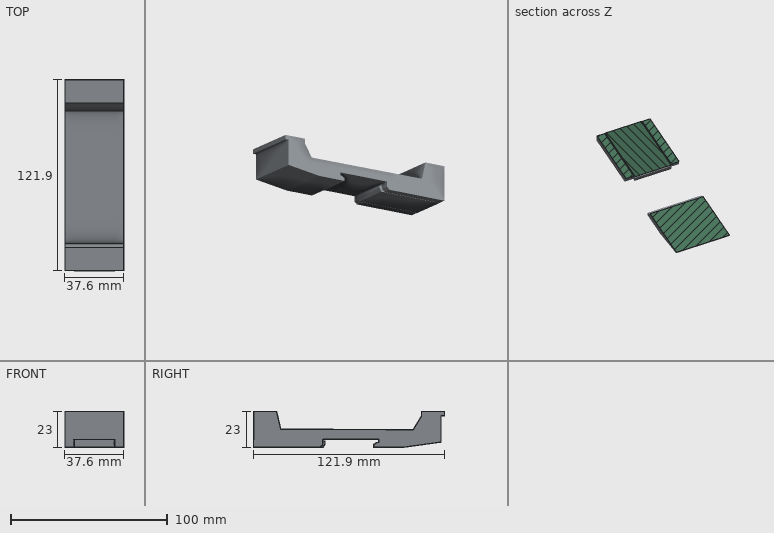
import cadquery as cq


width = 37.65
height = 23.0
slider_protrusion = 0.21
housing_length = 121.91 - slider_protrusion

deck_height = 11.3
front_top_length = 14.6
front_block_foot = 17.4
rear_top_length = 14.8
rear_block_foot = 20.0
rear_ledge_depth = 3.1

lip_overhang = 2.2
lip_thickness = 2.9
rear_wall_bottom = 3.3
underside_rise_length = 26.0

recess_height = 5.15
recess_front = 44.0
recess_rear = housing_length - 42.1
hook_reach = 3.1
hook_tip_height = 1.9
hook_height = 3.25
hook_land = 1.0
front_wall_bevel_height = 1.75
front_wall_bevel_length = 1.9

channel_width = 26.2
slider_width = 25.5
slider_back = recess_front + 0.35
nose_reach = 1.25
nose_root_top = 4.2
nose_tip_top = 3.9
nose_bottom = 2.3

wedge_rise = 0.4


def extrude_profile(points, across):
    """Extrude a closed (Y, Z) outline symmetrically about X = 0."""
    return cq.Workplane("YZ").polyline(points).close().extrude(across / 2, both=True)


def front_slope_y(z):
    """Y of the front block's sloping inner face at height z."""
    run = front_block_foot - front_top_length
    return front_block_foot - run * (z - deck_height) / (height - deck_height)


rear_wall = housing_length - lip_overhang
rear_foot = housing_length - rear_block_foot


def make_housing():
    hook_tip = recess_rear - hook_reach
    rear_top = housing_length - rear_top_length
    body = extrude_profile(
        [
            (0, 0),
            (recess_front - front_wall_bevel_length, 0),
            (recess_front, front_wall_bevel_height),
            (recess_front, recess_height),
            (recess_rear, recess_height),
            (recess_rear, hook_height),
            (recess_rear - hook_land, hook_height),
            (hook_tip, hook_tip_height),
            (hook_tip, 0),
            (housing_length - underside_rise_length, 0),
            (rear_wall, rear_wall_bottom),
            (rear_wall, height - lip_thickness),
            (housing_length, height - lip_thickness),
            (housing_length, height),
            (rear_top, height),
            (rear_top, height - rear_ledge_depth),
            (rear_foot, deck_height),
            (front_block_foot, deck_height),
            (front_top_length, height),
            (0, height),
        ],
        width,
    )
    channel = cq.Workplane("XY").box(
        channel_width, recess_front, recess_height, centered=(True, False, False)
    )
    return body.cut(channel)


def make_slider():
    return extrude_profile(
        [
            (-slider_protrusion, 0),
            (slider_back, 0),
            (slider_back + nose_reach, nose_bottom),
            (slider_back + nose_reach, nose_tip_top),
            (slider_back, nose_root_top),
            (slider_back, recess_height),
            (-slider_protrusion, recess_height),
        ],
        slider_width,
    )


def make_deck_wedge():
    wedge_top = deck_height + wedge_rise
    return extrude_profile(
        [
            (front_block_foot, deck_height),
            (rear_foot, deck_height),
            (front_slope_y(wedge_top), wedge_top),
        ],
        width,
    )


housing = make_housing()
slider = make_slider()
deck_wedge = make_deck_wedge()

result = cq.Compound.makeCompound([housing.val(), slider.val(), deck_wedge.val()])